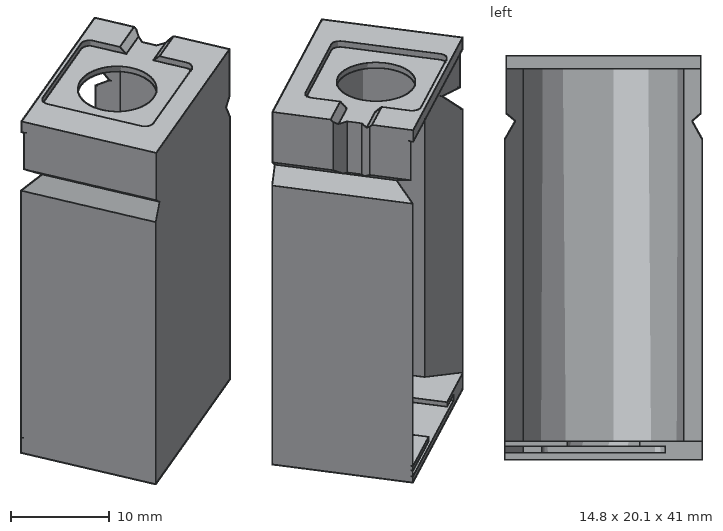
import cadquery as cq

length_x, width_y, height_z = 14.75, 20.05, 41.0
half_width = width_y / 2

floor_top = 1.9
ceiling_thickness = 1.35
cavity_half_width = 8.1
arc_start_x = 4.95
cavity_end_x = 14.18
bevel_length = 3.52

groove_bottom, groove_tip, groove_top = 32.5, 34.35, 35.1
upper_inset = 0.145
front_groove_depth = 1.02
back_groove_depth = 1.05

seat_center_x = 6.47
seat_size = 12.1
seat_corner_radius = 0.95
seat_depth = 0.7
hole_diameter = 8.0
channel_bottom_width, channel_top_width = 2.95, 4.35

notch_depth = 1.4
notch_inner_width, notch_outer_width = 1.55, 4.1

slot_bottom, slot_top = 0.7, 1.35
slot_size = 12.55
slot_corner_radius = 1.2
keyhole_width = 7.38
keyhole_radius = 4.4


def box_between(x_range, y_range, z_range):
    """Axis-aligned box given by its (low, high) limits."""
    sizes = [high - low for low, high in (x_range, y_range, z_range)]
    corner = (x_range[0], y_range[0], z_range[0])
    return cq.Workplane("XY").box(*sizes, centered=False).translate(corner)


def make_cavity():
    """Cavity with a curved end wall and a mouth that widens to the full block width."""
    return (
        cq.Workplane("XY", origin=(0, 0, floor_top))
        .moveTo(0, half_width)
        .lineTo(bevel_length, cavity_half_width)
        .lineTo(arc_start_x, cavity_half_width)
        .threePointArc((cavity_end_x, 0), (arc_start_x, -cavity_half_width))
        .lineTo(bevel_length, -cavity_half_width)
        .lineTo(0, -half_width)
        .close()
        .extrude(height_z - ceiling_thickness - floor_top)
    )


def make_side_relief(side, depth):
    """V-groove and the shallow inset above it; side is +1 for +Y, -1 for -Y."""
    profile = [
        (side * half_width, groove_bottom),
        (side * (half_width - depth), groove_tip),
        (side * (half_width - upper_inset), groove_top),
        (side * (half_width - upper_inset), height_z),
        (side * half_width, height_z),
    ]
    return cq.Workplane("YZ").polyline(profile).close().extrude(length_x)


def make_rounded_square(size, radius, bottom, top):
    """Square pocket volume with rounded vertical corners around the hole axis."""
    return (
        cq.Workplane("XY", origin=(seat_center_x, 0, bottom))
        .rect(size, size)
        .extrude(top - bottom)
        .edges("|Z")
        .fillet(radius)
    )


def make_channel():
    """Channel with sloping sides from the seat out through the +Y wall."""
    seat_floor = height_z - seat_depth
    profile = [
        (seat_center_x - channel_bottom_width / 2, seat_floor),
        (seat_center_x + channel_bottom_width / 2, seat_floor),
        (seat_center_x + channel_top_width / 2, height_z),
        (seat_center_x - channel_top_width / 2, height_z),
    ]
    return cq.Workplane("XZ", origin=(0, half_width, 0)).polyline(profile).close().extrude(half_width)


def make_back_notch():
    """Trapezoidal notch from the groove tip up to the channel."""
    inner_y = half_width - notch_depth
    profile = [
        (seat_center_x - notch_outer_width / 2, half_width),
        (seat_center_x - notch_inner_width / 2, inner_y),
        (seat_center_x + notch_inner_width / 2, inner_y),
        (seat_center_x + notch_outer_width / 2, half_width),
    ]
    return (
        cq.Workplane("XY", origin=(0, 0, groove_tip))
        .polyline(profile)
        .close()
        .extrude(height_z - groove_tip)
    )


def make_floor_slot():
    """Flat slot open to -X, widened on the +Y side up to the bevelled wall."""
    half_slot = slot_size / 2
    slot = make_rounded_square(slot_size, slot_corner_radius, slot_bottom, slot_top)
    mouth = box_between((0, seat_center_x), (-half_slot, half_slot), (slot_bottom, slot_top))
    side_profile = [(0, 0), (0, half_width), (bevel_length, cavity_half_width), (bevel_length, 0)]
    side_opening = (
        cq.Workplane("XY", origin=(0, 0, slot_bottom))
        .polyline(side_profile)
        .close()
        .extrude(slot_top - slot_bottom)
    )
    return slot.union(mouth).union(side_opening)


def make_keyhole():
    """Straight entry from -X ending in a larger circle, above the slot."""
    half_keyhole = keyhole_width / 2
    entry = box_between((0, seat_center_x), (-half_keyhole, half_keyhole), (slot_top, floor_top))
    circle = (
        cq.Workplane("XY", origin=(seat_center_x, 0, slot_top))
        .circle(keyhole_radius)
        .extrude(floor_top - slot_top)
    )
    return entry.union(circle)


def make_top_hole():
    """Round hole from the seat down into the cavity."""
    return (
        cq.Workplane("XY", origin=(seat_center_x, 0, height_z - ceiling_thickness))
        .circle(hole_diameter / 2)
        .extrude(ceiling_thickness)
    )


result = box_between((0, length_x), (-half_width, half_width), (0, height_z))
cuts = [
    make_cavity(),
    make_side_relief(1, back_groove_depth),
    make_side_relief(-1, front_groove_depth),
    make_rounded_square(seat_size, seat_corner_radius, height_z - seat_depth, height_z),
    make_channel(),
    make_back_notch(),
    make_top_hole(),
    make_floor_slot(),
    make_keyhole(),
]
for cut in cuts:
    result = result.cut(cut)